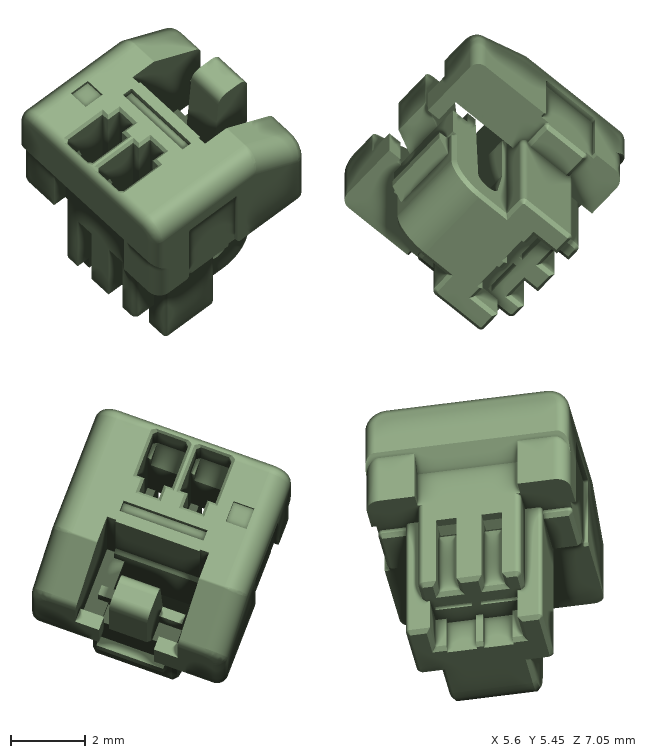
import cadquery as cq
import math


CAP_WIDTH = 5.6
CAP_DEPTH = 5.45
TOTAL_HEIGHT = 7.05
CAP_BOTTOM = 3.85
SLOPE_START = 3.76
SLOPE_ANGLE = 30.0
BREAK_RADIUS = 0.1
SIDE_RADIUS = 0.605
END_RADIUS = 0.3

SHROUD_FRONT = 0.51
BEVEL_TOP = 5.46
LEG_FRONT = 0.105
LEG_RADIUS = 0.395

PANEL_DEPTH = 0.135
PANEL_FRONT, PANEL_REAR = 1.22, 2.975
PANEL_TOP = 6.055
PANEL_RADIUS = 0.07
TAB_HEIGHT = 0.21
TAB_FRONT, TAB_REAR = 1.34, 2.835

PLUG_WIDTH = 3.75
PLUG_FRONT, PLUG_REAR = 1.19, 2.99
EDGE_CHAMFER = 0.105
EDGE_RADIUS = 0.11
LARGE_EDGE = 0.155
CORE_WIDTH = 2.41
RECESS_REAR = 2.01
SHROUD_WIDTH = 2.82
SHROUD_BOTTOM = 1.035
SHROUD_REAR = 1.47

PITCH = 1.25
CAVITY_WIDTH = 1.015
CAVITY_FRONT, CAVITY_REAR = 0.255, 1.6
CAVITY_CORNER = 0.1
CAVITY_FLOOR = 3.33
STEP_DEPTH = 0.07
LEDGE_REAR = 0.76
LEDGE_RAMP_TOP = 5.99
KEY_WIDTH = 0.565
KEY_REAR = 2.01
KEY_SLOPE_TOP = 5.29
LEAD_IN = 0.08
WINDOW_REAR = 0.99
WINDOW_TOP = 3.26
WINDOW_RAMP_REAR = 1.26
NOTCH_INNER = 0.1
NOTCH_REAR = 2.185

GROOVE_FRONT, GROOVE_REAR = 2.41, 2.72
GROOVE_DEPTH = 0.205
MARK_LEFT, MARK_RIGHT = -2.18, -1.58
MARK_FRONT, MARK_REAR = 1.395, 2.01
MARK_DEPTH = 0.1

BAY_WIDTH = 2.93
STOP_WIDTH = 0.68
STOP_FRONT = 5.055
STOP_TOP = 4.935
SHELF_LEFT = 0.91
SHELF_TOP = 4.09
HINGE_TOP_REAR = 3.04
SLOT_FRONT = 3.15
SLOT_TAPER_TOP = 2.28
SLOT_RADIUS = 0.35
SLOT_CENTER_Y, SLOT_CENTER_Z = 3.66, 1.185
BEND_RADIUS = 0.99
LATCH_REAR = 4.88
BEAM_REAR = 4.92
BEAM_STEP = 2.6
BEAM_TOP = 3.95
RIB_FRONT, RIB_REAR = 4.11, 4.39
RIB_TOP = 4.51
HOOK_WIDTH = 1.92
HOOK_REAR = 5.18
HOOK_OUTER_TOP, HOOK_OUTER_BOTTOM, HOOK_BOTTOM = 2.55, 2.23, 1.62
LEVER_WIDTH = 1.1
LEVER_REAR = 5.32
LEVER_TOP_FRONT = 4.315
LEVER_TOP = 6.95
LEVER_UNDERSIDE = 4.935
LEVER_RADIUS = 0.31

CLEAR = 0.07


def block(x_range, y_range, z_range):
    lengths = [end - start for start, end in (x_range, y_range, z_range)]
    corner = (x_range[0], y_range[0], z_range[0])
    return cq.Workplane("XY").box(*lengths, centered=False).translate(corner)


def middle_block(width, y_range, z_range):
    return block((-width / 2, width / 2), y_range, z_range)


def side_profile(points, x_start, x_end):
    """Extrude a closed (Y, Z) outline from x_start to x_end."""
    outline = cq.Workplane("YZ").polyline(points).close()
    return outline.extrude(x_end - x_start).translate((x_start, 0, 0))


def middle_profile(points, width):
    return side_profile(points, -width / 2, width / 2)


def make_cap():
    rear_top = TOTAL_HEIGHT - (CAP_DEPTH - SLOPE_START) * math.tan(math.radians(SLOPE_ANGLE))
    outline = [
        (0, CAP_BOTTOM),
        (0, TOTAL_HEIGHT),
        (SLOPE_START, TOTAL_HEIGHT),
        (CAP_DEPTH, rear_top),
        (CAP_DEPTH, CAP_BOTTOM),
    ]
    cap = middle_profile(outline, CAP_WIDTH)
    cap = cap.faces(">Z").edges(">Y").fillet(BREAK_RADIUS)
    top_faces = cap.faces(">Z").add(cap.faces("not(|X or |Y or |Z)"))
    cap = top_faces.edges("<X or >X").fillet(SIDE_RADIUS)
    cap = cap.faces("<Y").edges("not(<Z)").fillet(END_RADIUS)
    return cap.faces(">Y").edges("not(<Z)").fillet(END_RADIUS)


def front_wedge(front_y):
    """Outline below the 45 degree bevel, from front_y back to the shroud face."""
    return [
        (front_y, BEVEL_TOP - front_y),
        (SHROUD_FRONT, BEVEL_TOP - SHROUD_FRONT),
        (SHROUD_FRONT, CAP_BOTTOM),
        (front_y, CAP_BOTTOM),
    ]


def make_leg():
    leg = side_profile(front_wedge(LEG_FRONT), SHROUD_WIDTH / 2, CAP_WIDTH / 2)
    return leg.edges("|Z and >X and <Y").fillet(LEG_RADIUS)


def make_panel_cut():
    flare = PANEL_RADIUS
    outline = [
        (PANEL_FRONT - flare, CAP_BOTTOM),
        (PANEL_FRONT, CAP_BOTTOM + flare),
        (PANEL_FRONT, PANEL_TOP),
        (PANEL_REAR, PANEL_TOP),
        (PANEL_REAR, CAP_BOTTOM + flare),
        (PANEL_REAR + flare, CAP_BOTTOM),
    ]
    panel = side_profile(outline, CAP_WIDTH / 2 - PANEL_DEPTH, CAP_WIDTH / 2 + CLEAR)
    return panel.edges("|X and >Z").fillet(PANEL_RADIUS)


def make_tabs():
    tab_width = CAP_WIDTH - 2 * PANEL_DEPTH
    tabs = middle_block(tab_width, (TAB_FRONT, TAB_REAR), (CAP_BOTTOM - TAB_HEIGHT, CAP_BOTTOM))
    return tabs.edges("|Z").fillet(EDGE_RADIUS).faces("<Z").chamfer(EDGE_CHAMFER)


def make_plug():
    plug = middle_block(PLUG_WIDTH, (PLUG_FRONT, PLUG_REAR), (0, CAP_BOTTOM))
    plug = plug.edges("|Z and <Y").fillet(EDGE_RADIUS).edges("|Z and >Y").fillet(LARGE_EDGE)
    plug = plug.cut(middle_block(CORE_WIDTH, (PLUG_FRONT - CLEAR, RECESS_REAR), (-CLEAR, SHROUD_BOTTOM)))
    return plug.faces("<Z").chamfer(EDGE_CHAMFER)


def make_window_cut():
    """Window in the shroud face below one cavity, sloping up into the cavity floor."""
    window_ramp_bottom = CAVITY_FLOOR - (WINDOW_RAMP_REAR - WINDOW_REAR)
    window = [
        (SHROUD_FRONT - CLEAR, SHROUD_BOTTOM - CLEAR),
        (WINDOW_REAR, SHROUD_BOTTOM - CLEAR),
        (WINDOW_REAR, window_ramp_bottom),
        (WINDOW_RAMP_REAR, CAVITY_FLOOR),
        (LEDGE_REAR, CAVITY_FLOOR),
        (LEDGE_REAR, WINDOW_TOP),
        (SHROUD_FRONT - CLEAR, WINDOW_TOP),
    ]
    return middle_profile(window, KEY_WIDTH)


def make_shroud():
    shroud = middle_block(SHROUD_WIDTH, (SHROUD_FRONT, SHROUD_REAR), (SHROUD_BOTTOM, CAP_BOTTOM))
    shroud = shroud.edges("|Z and <Y").fillet(LARGE_EDGE)
    window = make_window_cut()
    for side in (-1, 1):
        shroud = shroud.cut(window.translate((side * PITCH / 2, 0, 0)))
    return shroud.faces("<Z").chamfer(EDGE_CHAMFER)


def make_side_bevel():
    """Wedge that narrows the front of a cavity on its +X side, beside the ramp."""
    wall = CAVITY_WIDTH / 2
    outline = [
        (wall, CAVITY_FLOOR),
        (wall, LEDGE_RAMP_TOP + CAVITY_CORNER),
        (wall - CAVITY_CORNER, LEDGE_RAMP_TOP),
        (wall - CAVITY_CORNER, CAVITY_FLOOR),
    ]
    bevel = cq.Workplane("XZ").polyline(outline).close().extrude(CAVITY_FRONT - LEDGE_REAR)
    return bevel.translate((0, CAVITY_FRONT, 0))


def make_cavity_cut():
    """One contact cavity on X = 0, with its keyway, window and passage to the underside."""
    main = middle_block(CAVITY_WIDTH, (CAVITY_FRONT, CAVITY_REAR), (CAVITY_FLOOR, TOTAL_HEIGHT))
    main = main.edges("|Z and <Y").chamfer(CAVITY_CORNER)
    ledge_step = LEDGE_REAR - CAVITY_FRONT
    ledge = [
        (CAVITY_FRONT, LEDGE_RAMP_TOP),
        (LEDGE_REAR, LEDGE_RAMP_TOP - ledge_step),
        (LEDGE_REAR, CAVITY_FLOOR),
        (CAVITY_FRONT, CAVITY_FLOOR),
    ]
    main = main.cut(middle_profile(ledge, CAVITY_WIDTH))
    bevel = make_side_bevel()
    main = main.cut(bevel).cut(bevel.mirror("YZ"))

    key_slope_bottom = KEY_SLOPE_TOP - (KEY_REAR - CAVITY_REAR)
    key_slope = [
        (LEDGE_REAR, TOTAL_HEIGHT),
        (KEY_REAR, TOTAL_HEIGHT),
        (KEY_REAR, KEY_SLOPE_TOP),
        (CAVITY_REAR, key_slope_bottom),
        (LEDGE_REAR, key_slope_bottom),
    ]
    keyway = middle_profile(key_slope, KEY_WIDTH)

    passage = middle_block(CAVITY_WIDTH, (SHROUD_REAR, CAVITY_REAR), (0, CAVITY_FLOOR))
    step_z = (CAVITY_FLOOR - STEP_DEPTH, CAVITY_FLOOR)
    step = block((-CAVITY_WIDTH / 2, -KEY_WIDTH / 2), (LEDGE_REAR, SHROUD_REAR), step_z)
    return main.union(keyway).union(passage).union(step).union(make_window_cut())


def mouth_outline(margin):
    """Outline (X, Y) of a cavity and its keyway, grown outwards by margin."""
    half_width = CAVITY_WIDTH / 2 + margin
    half_key = KEY_WIDTH / 2 + margin
    front = CAVITY_FRONT - margin
    right_side = [
        (half_width - CAVITY_CORNER, front),
        (half_width, front + CAVITY_CORNER),
        (half_width, CAVITY_REAR + margin),
        (half_key, CAVITY_REAR + margin),
        (half_key, KEY_REAR + margin),
    ]
    left_side = [(-x, y) for x, y in reversed(right_side)]
    return right_side + left_side


def make_mouth_cut():
    """Chamfer around the mouth of one cavity."""
    mouth = cq.Workplane("XY", origin=(0, 0, TOTAL_HEIGHT)).polyline(mouth_outline(LEAD_IN)).close()
    return mouth.workplane(offset=-LEAD_IN).polyline(mouth_outline(0)).close().loft(ruled=True)


def make_latch_bend():
    """Lower part of the latch: J-shaped, with the taper slot still filled."""
    bend = middle_block(CORE_WIDTH, (NOTCH_REAR + EDGE_CHAMFER, LATCH_REAR), (0, BEAM_STEP))
    bend = bend.edges("|X and >Y and <Z").fillet(BEND_RADIUS)
    return bend.faces("<X or >X").edges("not(>Z)").chamfer(EDGE_CHAMFER)


def make_latch_slot():
    slot = cq.Workplane("YZ").moveTo(SLOT_FRONT, RIB_TOP)
    slot = slot.lineTo(SLOT_FRONT, SLOT_TAPER_TOP)
    slot = slot.lineTo(SLOT_CENTER_Y - SLOT_RADIUS, SLOT_CENTER_Z)
    slot = slot.threePointArc(
        (SLOT_CENTER_Y, SLOT_CENTER_Z - SLOT_RADIUS),
        (SLOT_CENTER_Y + SLOT_RADIUS, SLOT_CENTER_Z),
    )
    slot = slot.lineTo(RIB_FRONT, RIB_TOP).close()
    return slot.extrude(CORE_WIDTH / 2, both=True)


def make_latch():
    upper = middle_block(CORE_WIDTH, (PLUG_REAR, BEAM_REAR), (BEAM_STEP, BEAM_TOP))
    rib = middle_block(CORE_WIDTH, (SLOT_CENTER_Y, RIB_REAR), (BEAM_TOP, RIB_TOP))
    latch = make_latch_bend().union(upper).union(rib).cut(make_latch_slot())

    hinge_step = SLOT_FRONT - HINGE_TOP_REAR
    hinge = [
        (PLUG_REAR, CAP_BOTTOM),
        (SLOT_FRONT, CAP_BOTTOM),
        (SLOT_FRONT, RIB_TOP),
        (HINGE_TOP_REAR, RIB_TOP + hinge_step),
        (HINGE_TOP_REAR, TOTAL_HEIGHT),
        (PLUG_REAR, TOTAL_HEIGHT),
    ]
    hook = [
        (LATCH_REAR, BEAM_STEP),
        (BEAM_REAR, BEAM_STEP),
        (HOOK_REAR, HOOK_OUTER_TOP),
        (HOOK_REAR, HOOK_OUTER_BOTTOM),
        (LATCH_REAR, HOOK_BOTTOM),
    ]
    lever = [
        (RIB_FRONT, RIB_TOP),
        (LEVER_TOP_FRONT, LEVER_TOP),
        (LEVER_REAR, LEVER_TOP),
        (LEVER_REAR, LEVER_UNDERSIDE),
        (BEAM_REAR, BEAM_TOP),
        (RIB_FRONT, BEAM_TOP),
    ]
    lever = middle_profile(lever, LEVER_WIDTH)
    lever = lever.faces(">Z").edges("|X").fillet(LEVER_RADIUS)
    latch = latch.union(middle_profile(hinge, CORE_WIDTH))
    return latch.union(middle_profile(hook, HOOK_WIDTH)).union(lever)


def make_bay_floor():
    """Shelf on the +X side of the bay and the two stops across its rear."""
    half_bay = BAY_WIDTH / 2
    stop = block((half_bay - STOP_WIDTH, half_bay), (STOP_FRONT, CAP_DEPTH), (CAP_BOTTOM, STOP_TOP))
    shelf = block((SHELF_LEFT, half_bay), (PLUG_REAR, CAP_DEPTH), (CAP_BOTTOM, SHELF_TOP))
    return stop.union(stop.mirror("YZ")).union(shelf)


cap = make_cap().cut(middle_profile(front_wedge(-CLEAR), CAP_WIDTH + 2 * CLEAR))
leg = make_leg()
cap = cap.union(leg).union(leg.mirror("YZ"))
panel_cut = make_panel_cut()
cap = cap.cut(panel_cut).cut(panel_cut.mirror("YZ"))
cap = cap.cut(middle_block(BAY_WIDTH, (PLUG_REAR, CAP_DEPTH + CLEAR), (0, TOTAL_HEIGHT + CLEAR)))

groove = middle_block(CORE_WIDTH, (GROOVE_FRONT, GROOVE_REAR), (TOTAL_HEIGHT - GROOVE_DEPTH, TOTAL_HEIGHT))
mark = block((MARK_LEFT, MARK_RIGHT), (MARK_FRONT, MARK_REAR), (TOTAL_HEIGHT - MARK_DEPTH, TOTAL_HEIGHT))
cap = cap.cut(groove).cut(mark)

result = cap.union(make_plug()).union(make_tabs()).union(make_shroud())
result = result.union(make_latch()).union(make_bay_floor())

cavity_cut = make_cavity_cut().union(make_mouth_cut())
notch_outer = (PITCH + KEY_WIDTH) / 2
notch = block((NOTCH_INNER, notch_outer), (PLUG_FRONT, NOTCH_REAR), (-CLEAR, SHROUD_BOTTOM))
for side in (-1, 1):
    result = result.cut(cavity_cut.translate((side * PITCH / 2, 0, 0)))
result = result.cut(notch).cut(notch.mirror("YZ"))